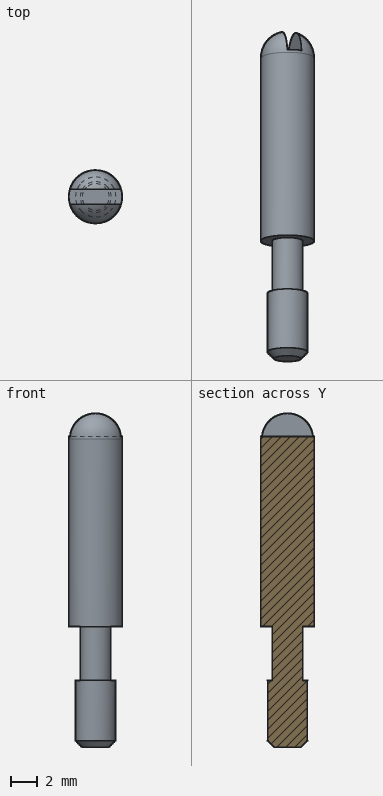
import cadquery as cq
import math

total_length = 25.0
body_diameter = 4.0
neck_diameter = 2.3
tip_diameter = 3.0
tip_length = 5.0
neck_length = 4.0
tip_chamfer = 0.5
slot_width = 1.1
slot_depth = 1.8

body_radius = body_diameter / 2
neck_radius = neck_diameter / 2
tip_radius = tip_diameter / 2
neck_top = tip_length + neck_length
dome_base = total_length - body_radius


def make_pin():
    """Turned pin: chamfered tip, relieved neck and hemispherical-ended body."""
    dome_mid_offset = body_radius * math.sqrt(0.5)
    profile = (
        cq.Workplane("XZ")
        .moveTo(0, 0)
        .lineTo(tip_radius - tip_chamfer, 0)
        .lineTo(tip_radius, tip_chamfer)
        .lineTo(tip_radius, tip_length)
        .lineTo(neck_radius, tip_length)
        .lineTo(neck_radius, neck_top)
        .lineTo(body_radius, neck_top)
        .lineTo(body_radius, dome_base)
        .threePointArc((dome_mid_offset, dome_base + dome_mid_offset), (0, total_length))
        .close()
    )
    return profile.revolve(360, (0, 0, 0), (0, 1, 0))


def make_driver_slot():
    """Screwdriver slot running along X across the dome."""
    slot_floor = total_length - slot_depth
    return (
        cq.Workplane("XY", origin=(0, 0, slot_floor))
        .rect(body_diameter, slot_width)
        .extrude(slot_depth)
    )


result = make_pin().cut(make_driver_slot())